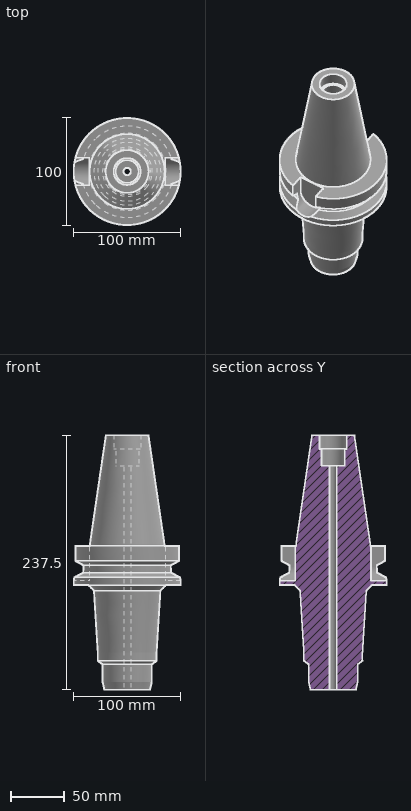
import cadquery as cq

total_height = 237.5
nose_chamfer_top = 7.4
neck_top = 23.8
collar_bottom = 27.0
collar_top = 35.0
body_top = 92.7
flange_bottom = 97.7
groove_lower_edge = 105.0
groove_floor_bottom = 109.3
groove_floor_top = 116.2
groove_upper_edge = 120.2
flange_top = 134.2
taper_bottom = 135.7

nose_radius = 21.5
neck_radius = 23.0
collar_radius = 27.5
body_radius = 31.1
flange_cone_radius = 36.0
flange_radius = 100.0 / 2
groove_radius = 42.8
taper_large_radius = 35.0
taper_small_radius = 20.0

slot_width = 25.5
slot_floor_distance = 35.5
slot_arc_center_height = 114.8

bore_radius = 12.5
bore_depth = 12.8
pilot_radius = 10.7
pilot_depth = 28.5
through_radius = 3.3


def make_body():
    """Revolve the half profile of the holder around Z."""
    profile = [
        (0, 0),
        (nose_radius, 0),
        (neck_radius, nose_chamfer_top),
        (neck_radius, neck_top),
        (collar_radius, collar_bottom),
        (collar_radius, collar_top),
        (body_radius, body_top),
        (flange_cone_radius, flange_bottom),
        (flange_radius, flange_bottom),
        (flange_radius, groove_lower_edge),
        (groove_radius, groove_floor_bottom),
        (groove_radius, groove_floor_top),
        (flange_radius, groove_upper_edge),
        (flange_radius, flange_top),
        (taper_large_radius, flange_top),
        (taper_large_radius, taper_bottom),
        (taper_small_radius, total_height),
        (0, total_height),
    ]
    return cq.Workplane("XZ").polyline(profile).close().revolve(360, (0, 0), (0, 1))


def make_slot(side):
    """Round-bottomed drive slot, open at the flange top; side is +1 or -1."""
    half_width = slot_width / 2
    return (
        cq.Workplane("YZ", origin=(side * slot_floor_distance, 0, 0))
        .moveTo(-half_width, flange_top)
        .lineTo(-half_width, slot_arc_center_height)
        .threePointArc((0, slot_arc_center_height - half_width), (half_width, slot_arc_center_height))
        .lineTo(half_width, flange_top)
        .close()
        .extrude(side * flange_radius)
    )


def make_hole(radius, depth):
    """Cylinder reaching down from the small end of the taper."""
    return cq.Workplane("XY", origin=(0, 0, total_height - depth)).circle(radius).extrude(depth)


result = make_body()
for slot_side in (-1, 1):
    result = result.cut(make_slot(slot_side))

bore_steps = [
    (bore_radius, bore_depth),
    (pilot_radius, pilot_depth),
    (through_radius, total_height),
]
for step_radius, step_depth in bore_steps:
    result = result.cut(make_hole(step_radius, step_depth))